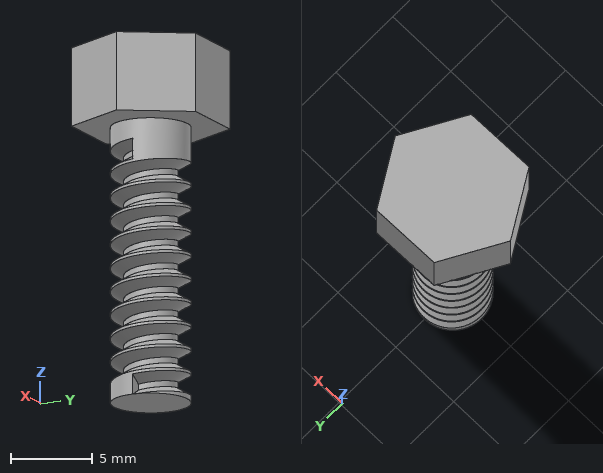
import cadquery as cq
import math

total_length = 22.5
head_height = 5.0
head_corner_radius = 4.9
head_turn = 1.0
shank_length = total_length - head_height
shank_radius = head_height / 2

pitch_to_diameter = 0.3
pitch = pitch_to_diameter * 2 * shank_radius
thread_turns = 10
flank_half_angle = 30.0
crest_width = pitch / 8
groove_depth = 0.8
groove_top_gap = 1.24
cutter_overrun = 0.07

flank_slope = math.tan(math.radians(flank_half_angle))
groove_mouth = pitch - crest_width
groove_root = groove_mouth - 2 * groove_depth * flank_slope
cutter_mouth = groove_mouth + 2 * cutter_overrun * flank_slope
groove_start = shank_length - groove_top_gap - groove_mouth / 2 - thread_turns * pitch


def make_head():
    """Hexagonal prism with a corner just off the +X axis."""
    return (
        cq.Workplane("XY", origin=(0, 0, shank_length))
        .transformed(rotate=(0, 0, head_turn))
        .polygon(6, 2 * head_corner_radius)
        .extrude(head_height)
    )


def make_groove():
    """Right-hand helical cutter that begins and ends at the +X side."""
    root_radius = shank_radius - groove_depth
    mouth_radius = shank_radius + cutter_overrun
    helix = cq.Wire.makeHelix(pitch, thread_turns * pitch, shank_radius)
    profile = cq.Workplane("XZ").polyline([
        (root_radius, -groove_root / 2),
        (mouth_radius, -cutter_mouth / 2),
        (mouth_radius, cutter_mouth / 2),
        (root_radius, groove_root / 2),
    ]).close()
    cutter = profile.sweep(cq.Workplane(obj=helix), isFrenet=True)
    return cutter.translate((0, 0, groove_start))


shank = cq.Workplane("XY").circle(shank_radius).extrude(shank_length)
result = shank.cut(make_groove()).union(make_head())